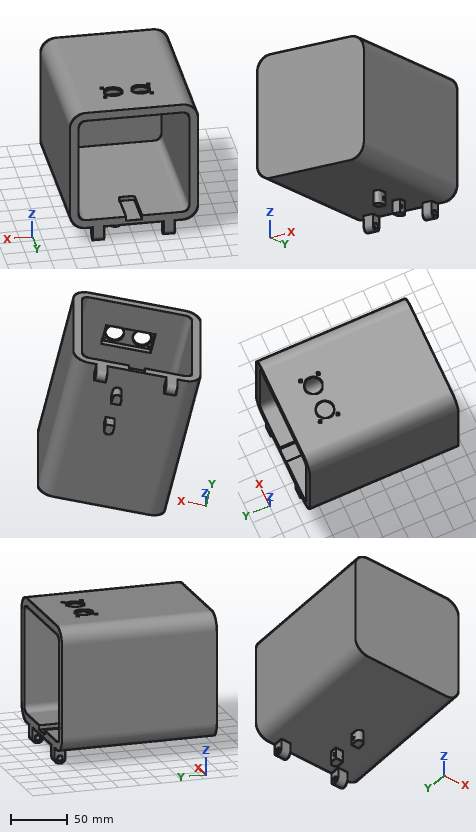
import cadquery as cq

shell_side = 116.0
shell_length = 145.0
corner_radius = 14.5
wall = 8.0

sensor_y = 37.1
eye_diameter = 16.5
eye_spacing = 25.0
screw_diameter = 2.5
screw_spacing_x = 42.0
screw_spacing_y = 17.1
pocket_size_x = 45.0
pocket_size_y = 20.0
pocket_roof = 2.0

channel_width = 14.5
channel_start_y = 35.0
channel_corner_radius = 2.9
channel_depth = wall / 2

lug_width = 10.0
lug_spacing = 63.8
lug_drop = 15.0
lug_hole_diameter = 5.0

post_x = 12.8
post_width = 8.1
post_length = 10.0
post_drop = 12.2
post_gap = 22.5
post_pair_y = 31.2
post_hole_diameter = 2.8
post_hole_setback = 2.5

half_side = shell_side / 2
back_y = shell_length / 2
roof_inside_z = half_side - wall
overlap = 1.5


def rounded_bar(side, length, radius, front_y):
    """Square bar along +Y from front_y with rounded long edges."""
    bar = cq.Workplane("XY").box(side, length, side, centered=(True, False, True))
    return bar.edges("|Y").fillet(radius).translate((0, front_y, 0))


def make_shell():
    outer = rounded_bar(shell_side, shell_length, corner_radius, -back_y)
    cavity = rounded_bar(shell_side - 2 * wall, shell_length, corner_radius - wall, -back_y + wall)
    return outer.cut(cavity)


def cut_sensor_seat(body):
    pocket_depth = wall - pocket_roof
    roof_plane = cq.Workplane("XY", origin=(0, sensor_y, roof_inside_z))
    pocket = roof_plane.rect(pocket_size_x, pocket_size_y).extrude(pocket_depth)
    eyes = (
        roof_plane.pushPoints([(-eye_spacing / 2, 0), (eye_spacing / 2, 0)])
        .circle(eye_diameter / 2)
        .extrude(wall)
    )
    screws = (
        roof_plane.rect(screw_spacing_x, screw_spacing_y, forConstruction=True)
        .vertices()
        .circle(screw_diameter / 2)
        .extrude(wall)
    )
    return body.cut(pocket).cut(eyes).cut(screws)


def cut_floor_channel(body):
    channel = (
        cq.Workplane("XY")
        .box(channel_width, back_y - channel_start_y, channel_depth, centered=(True, False, False))
        .edges("|Z and <Y")
        .fillet(channel_corner_radius)
        .translate((0, channel_start_y, -roof_inside_z - channel_depth))
    )
    return body.cut(channel)


def make_lug(center_x):
    radius = lug_width / 2
    eye_y = back_y - radius
    eye_z = -half_side - lug_drop + radius
    root_z = -half_side + overlap
    return (
        cq.Workplane("YZ", origin=(center_x - lug_width / 2, 0, 0))
        .moveTo(eye_y - radius, root_z)
        .lineTo(eye_y - radius, eye_z)
        .threePointArc((eye_y, eye_z - radius), (eye_y + radius, eye_z))
        .lineTo(eye_y + radius, root_z)
        .close()
        .moveTo(eye_y, eye_z)
        .circle(lug_hole_diameter / 2)
        .extrude(lug_width)
    )


def make_post(side):
    """Post on the +Y (side = 1) or -Y (side = -1) half of the pair."""
    radius = post_width / 2
    flat_y = post_pair_y + side * post_gap / 2
    arc_y = flat_y + side * (post_length - radius)
    tip_y = flat_y + side * post_length
    hole_y = flat_y + side * post_hole_setback
    post = (
        cq.Workplane("XY", origin=(0, 0, -half_side - post_drop))
        .moveTo(post_x - radius, flat_y)
        .lineTo(post_x - radius, arc_y)
        .threePointArc((post_x, tip_y), (post_x + radius, arc_y))
        .lineTo(post_x + radius, flat_y)
        .close()
        .extrude(post_drop + overlap)
    )
    hole = (
        cq.Workplane("YZ", origin=(post_x - radius, hole_y, -half_side - post_drop / 2))
        .circle(post_hole_diameter / 2)
        .extrude(post_width)
    )
    return post.cut(hole)


result = cut_floor_channel(cut_sensor_seat(make_shell()))
for side in (-1, 1):
    result = result.union(make_lug(side * lug_spacing / 2))
    result = result.union(make_post(side))